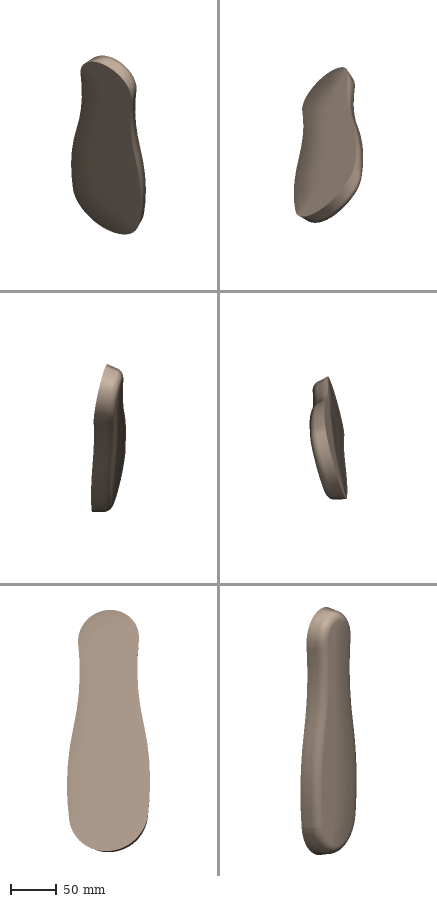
import cadquery as cq
import math

length = 278.3
thickness = 20.0
neck_half_width = 32.3
neck_z = 70.0
neck_radius = 292.3
belly_width = 93.2
belly_z = -61.0
draft_angle = 12.0
edge_radius = 10.0

belly_half_width = belly_width / 2
top_z = length / 2
bottom_z = -length / 2

width_step = belly_half_width - neck_half_width
height_step = neck_z - belly_z
radius_sum = (height_step**2 + width_step**2) / (2 * width_step)
belly_radius = radius_sum - neck_radius

neck_center = (neck_half_width + neck_radius, neck_z)
belly_center = (belly_half_width - belly_radius, belly_z)

top_reach = top_z - neck_z
top_radius = (neck_center[0]**2 + top_reach**2 - neck_radius**2) / (2 * (neck_radius + top_reach))
bottom_reach = belly_z - bottom_z
bottom_radius = (belly_radius**2 - belly_center[0]**2 - bottom_reach**2) / (2 * (belly_radius - bottom_reach))
top_center = (0, top_z - top_radius)
bottom_center = (0, bottom_z + bottom_radius)


def point_toward(start, target, distance):
    """Point at a given distance from start on the line to target."""
    dx = target[0] - start[0]
    dz = target[1] - start[1]
    ratio = distance / math.hypot(dx, dz)
    return (start[0] + ratio * dx, start[1] + ratio * dz)


def mirrored(point):
    return (-point[0], point[1])


top_joint = point_toward(top_center, neck_center, top_radius)
side_joint = point_toward(neck_center, belly_center, neck_radius)
bottom_joint = point_toward(belly_center, bottom_center, belly_radius)
neck_point = (neck_half_width, neck_z)
belly_point = (belly_half_width, belly_z)

body = (
    cq.Workplane("XZ")
    .moveTo(*top_joint)
    .threePointArc(neck_point, side_joint)
    .threePointArc(belly_point, bottom_joint)
    .threePointArc((0, bottom_z), mirrored(bottom_joint))
    .threePointArc(mirrored(belly_point), mirrored(side_joint))
    .threePointArc(mirrored(neck_point), mirrored(top_joint))
    .threePointArc((0, top_z), top_joint)
    .close()
    .extrude(-thickness, taper=draft_angle)
)

result = body.faces(">Y").edges().fillet(edge_radius)